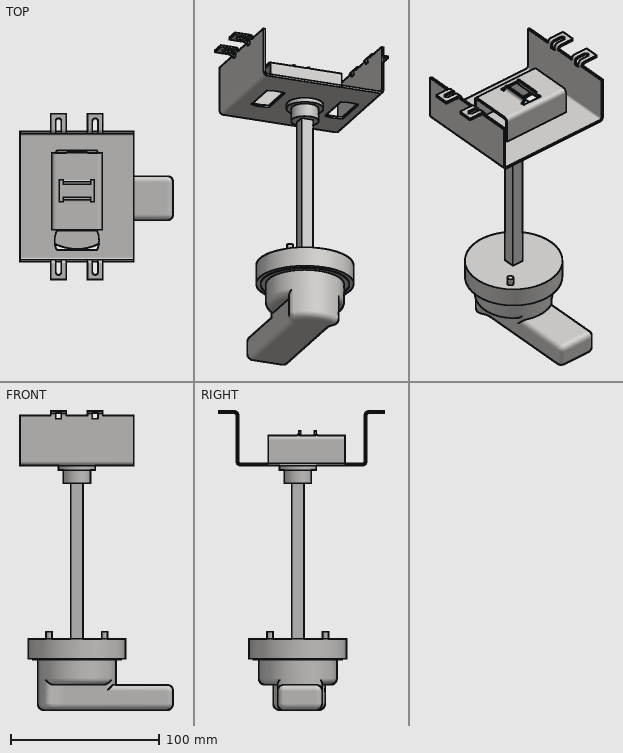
import cadquery as cq
import math


PLATE_DIAMETER = 66.0
PLATE_THICKNESS = 13.5
RIM_DIAMETER = 60.0
RIM_HEIGHT = 0.5
DRUM_DIAMETER = 53.0
DRUM_RADIUS = DRUM_DIAMETER / 2
DRUM_BOTTOM_Z = -31.0
DRUM_FILLET = 4.4
KNOB_HEIGHT = 48.2
LEVER_END_X = 65.04
LEVER_WIDTH = 30.0
LEVER_CENTRE_Y = 1.4
LEVER_FILLET = 4.0
LEVER_BOTTOM_FILLET = 4.4
FLARE_START_X = -9.1
FLARE_RADIUS = 12.0
HEAD_FILLET = 4.0
SEAM_CLEARANCE = 1.0

PIN_DIAMETER = 4.2
PIN_HEIGHT = 5.0
PIN_OFFSET = 18.75

SPINDLE_SIDE = 8.5
SPINDLE_LENGTH = 105.0
COLLAR_DIAMETER = 18.5
COLLAR_HEIGHT = 9.0
FLANGE_DIAMETER = 25.0
FLANGE_HEIGHT = 3.0

SHEET = 1.5
BEND_OUTER_RADIUS = 3.0
BEND_INNER_RADIUS = BEND_OUTER_RADIUS - SHEET
MID_BEND = math.sqrt(0.5)

BRACKET_LENGTH = 77.0
BRACKET_WIDTH = 88.0
BRACKET_HEIGHT = 37.0
BRACKET_CENTRE_Y = 2.5
TAB_REACH = 12.0
TAB_WIDTH = 10.5
TAB_SPACING = 24.8
TAB_SLOT_WIDTH = 3.7
TAB_SLOT_MARGIN = 3.2
TAB_SLOT_DEPTH = 5.2
WINDOW_DIAMETER = 30.0
WINDOW_HEIGHT = 13.0
WINDOW_OFFSET = 27.0

COVER_WIDTH = 34.0
COVER_LENGTH = 52.0
COVER_HEIGHT = 19.0
COVER_CENTRE_Y = 6.0
OPENING_CENTRE_Y = 6.5
OPENING_WIDTH = 23.7
OPENING_LENGTH = 15.0
LIP_WIDTH = 18.7
LIP_HEIGHT = 3.0

BRACKET_BOTTOM_Z = SPINDLE_LENGTH + COLLAR_HEIGHT + FLANGE_HEIGHT
BRACKET_TOP_Z = BRACKET_BOTTOM_Z + BRACKET_HEIGHT
FLOOR_Z = BRACKET_BOTTOM_Z + SHEET
COVER_TOP_Z = FLOOR_Z + COVER_HEIGHT


def cylinder(diameter, bottom_z, top_z):
    return cq.Workplane("XY").workplane(offset=bottom_z).circle(diameter / 2).extrude(top_z - bottom_z)


def block(size_x, size_y, bottom_z, top_z, centre_x=0.0, centre_y=0.0):
    return (
        cq.Workplane("XY", origin=(centre_x, centre_y, bottom_z))
        .rect(size_x, size_y)
        .extrude(top_z - bottom_z)
    )


def make_grip_head():
    """Web under the drum: lever width, flared at the back, trimmed and rounded at the drum wall."""
    half = LEVER_WIDTH / 2
    bottom_z = -KNOB_HEIGHT
    flare_end_x = FLARE_START_X - FLARE_RADIUS
    flare_end_y = half + FLARE_RADIUS
    back_x = -DRUM_DIAMETER
    plan = (
        cq.Workplane("XY", origin=(0, LEVER_CENTRE_Y, bottom_z))
        .moveTo(DRUM_DIAMETER, half)
        .lineTo(FLARE_START_X, half)
        .radiusArc((flare_end_x, flare_end_y), FLARE_RADIUS)
        .lineTo(back_x, flare_end_y)
        .lineTo(back_x, -flare_end_y)
        .lineTo(flare_end_x, -flare_end_y)
        .radiusArc((FLARE_START_X, -half), FLARE_RADIUS)
        .lineTo(DRUM_DIAMETER, -half)
        .close()
        .extrude(KNOB_HEIGHT - PLATE_THICKNESS)
    )
    head = plan.intersect(cylinder(DRUM_DIAMETER, bottom_z, -PLATE_THICKNESS))
    back_corners = cq.selectors.BoxSelector(
        (-DRUM_RADIUS, -DRUM_RADIUS, bottom_z), (FLARE_START_X - HEAD_FILLET, DRUM_RADIUS, 0)
    )
    front_corners = cq.selectors.BoxSelector(
        (0, -DRUM_RADIUS, bottom_z), (DRUM_RADIUS - SEAM_CLEARANCE, DRUM_RADIUS, 0)
    )
    return head.edges("|Z").edges(back_corners + front_corners).fillet(HEAD_FILLET)


def make_knob():
    top_z = -PLATE_THICKNESS
    drum = cylinder(DRUM_DIAMETER, DRUM_BOTTOM_Z, top_z).faces("<Z").edges().fillet(DRUM_FILLET)
    lever = block(
        LEVER_END_X, LEVER_WIDTH, -KNOB_HEIGHT, DRUM_BOTTOM_Z, LEVER_END_X / 2, LEVER_CENTRE_Y
    )
    lever = lever.edges(">X and |Z").fillet(LEVER_FILLET)
    lever = lever.faces(">Z").edges("not <X").fillet(LEVER_FILLET)
    grip = make_grip_head().union(lever).clean()
    grip = grip.faces("<Z").edges().fillet(LEVER_BOTTOM_FILLET)
    plate = cylinder(PLATE_DIAMETER, top_z, 0)
    rim = cylinder(RIM_DIAMETER, top_z - RIM_HEIGHT, top_z)
    knob = plate.union(rim).union(drum).union(grip)
    for side in (-1, 1):
        pin = cylinder(PIN_DIAMETER, 0, PIN_HEIGHT)
        knob = knob.union(pin.translate((side * PIN_OFFSET, -side * PIN_OFFSET, 0)))
    return knob


def make_spindle():
    collar_z = SPINDLE_LENGTH
    flange_z = collar_z + COLLAR_HEIGHT
    spindle = block(SPINDLE_SIDE, SPINDLE_SIDE, 0, collar_z)
    collar = cylinder(COLLAR_DIAMETER, collar_z, flange_z)
    flange = cylinder(FLANGE_DIAMETER, flange_z, BRACKET_BOTTOM_Z)
    return spindle.union(collar).union(flange)


def make_tab(centre_x, side):
    """Slotted tab bent outward from the top of a bracket wall; side is the sign of its Y direction."""
    wall_y = BRACKET_WIDTH / 2
    end_y = wall_y + TAB_REACH
    root_z = BRACKET_TOP_Z - BEND_OUTER_RADIUS
    bend_y = wall_y + BEND_INNER_RADIUS
    tab = (
        cq.Workplane("YZ", origin=(centre_x - TAB_WIDTH / 2, 0, 0))
        .moveTo(wall_y - SHEET, root_z)
        .threePointArc(
            (bend_y - BEND_OUTER_RADIUS * MID_BEND, root_z + BEND_OUTER_RADIUS * MID_BEND),
            (bend_y, BRACKET_TOP_Z),
        )
        .lineTo(end_y, BRACKET_TOP_Z)
        .lineTo(end_y, BRACKET_TOP_Z - SHEET)
        .lineTo(bend_y, BRACKET_TOP_Z - SHEET)
        .threePointArc(
            (bend_y - BEND_INNER_RADIUS * MID_BEND, root_z + BEND_INNER_RADIUS * MID_BEND),
            (wall_y, root_z),
        )
        .close()
        .extrude(TAB_WIDTH)
    )
    if side < 0:
        tab = tab.mirror("XZ")
    return tab


def make_tab_slot(centre_x, side):
    inner_y = BRACKET_WIDTH / 2 - 2 * SHEET
    round_y = BRACKET_WIDTH / 2 + TAB_REACH - TAB_SLOT_MARGIN - TAB_SLOT_WIDTH / 2
    bottom_z = BRACKET_TOP_Z - TAB_SLOT_DEPTH
    length = round_y - inner_y
    slot = block(TAB_SLOT_WIDTH, length, bottom_z, BRACKET_TOP_Z, centre_x, side * (inner_y + length / 2))
    end = cylinder(TAB_SLOT_WIDTH, bottom_z, BRACKET_TOP_Z).translate((centre_x, side * round_y, 0))
    return slot.union(end)


def make_window(centre_y):
    """Round opening with two flats across Y."""
    disc = cylinder(WINDOW_DIAMETER, BRACKET_BOTTOM_Z, FLOOR_Z)
    return disc.intersect(block(WINDOW_DIAMETER, WINDOW_HEIGHT, BRACKET_BOTTOM_Z, FLOOR_Z)).translate(
        (0, centre_y, 0)
    )


def make_bracket():
    wall_top_z = BRACKET_TOP_Z - BEND_OUTER_RADIUS
    outer = block(BRACKET_LENGTH, BRACKET_WIDTH, BRACKET_BOTTOM_Z, wall_top_z)
    outer = outer.edges("|X and <Z").fillet(BEND_OUTER_RADIUS)
    inner = block(BRACKET_LENGTH, BRACKET_WIDTH - 2 * SHEET, FLOOR_Z, wall_top_z)
    inner = inner.edges("|X and <Z").fillet(BEND_INNER_RADIUS)
    bracket = outer.cut(inner)
    for side in (-1, 1):
        for centre_x in (-TAB_SPACING / 2, TAB_SPACING / 2):
            bracket = bracket.union(make_tab(centre_x, side))
            bracket = bracket.cut(make_tab_slot(centre_x, side))
    bracket = bracket.translate((0, BRACKET_CENTRE_Y, 0))
    for side in (-1, 1):
        bracket = bracket.cut(make_window(side * WINDOW_OFFSET))
    return bracket


def make_lip():
    """Lip turned up at the +Y edge of the cover opening, placed about the opening centre."""
    root_y = OPENING_LENGTH / 2
    under_z = COVER_TOP_Z - SHEET
    bend_z = COVER_TOP_Z + BEND_INNER_RADIUS
    lip_outer_y = root_y - BEND_INNER_RADIUS
    lip_inner_y = lip_outer_y - SHEET
    tip_z = COVER_TOP_Z + LIP_HEIGHT
    return (
        cq.Workplane("YZ", origin=(-LIP_WIDTH / 2, 0, 0))
        .moveTo(root_y, under_z)
        .lineTo(root_y, COVER_TOP_Z)
        .threePointArc(
            (root_y - BEND_INNER_RADIUS * MID_BEND, bend_z - BEND_INNER_RADIUS * MID_BEND),
            (lip_outer_y, bend_z),
        )
        .lineTo(lip_outer_y, tip_z)
        .lineTo(lip_inner_y, tip_z)
        .lineTo(lip_inner_y, bend_z)
        .threePointArc(
            (root_y - BEND_OUTER_RADIUS * MID_BEND, bend_z - BEND_OUTER_RADIUS * MID_BEND),
            (root_y, under_z),
        )
        .close()
        .extrude(LIP_WIDTH)
    )


def make_cover():
    under_z = COVER_TOP_Z - SHEET
    outer = block(COVER_WIDTH, COVER_LENGTH, FLOOR_Z, COVER_TOP_Z)
    outer = outer.edges("|Y and >Z").fillet(BEND_OUTER_RADIUS)
    inner = block(COVER_WIDTH - 2 * SHEET, COVER_LENGTH, FLOOR_Z, under_z)
    inner = inner.edges("|Y and >Z").fillet(BEND_INNER_RADIUS)
    cover = outer.cut(inner).translate((0, COVER_CENTRE_Y, 0))
    cover = cover.cut(
        block(OPENING_WIDTH, OPENING_LENGTH, under_z, COVER_TOP_Z, centre_y=OPENING_CENTRE_Y)
    )
    lip = make_lip()
    for each_lip in (lip, lip.mirror("XZ")):
        cover = cover.union(each_lip.translate((0, OPENING_CENTRE_Y, 0)))
    return cover


result = make_knob().union(make_spindle()).union(make_bracket()).union(make_cover())